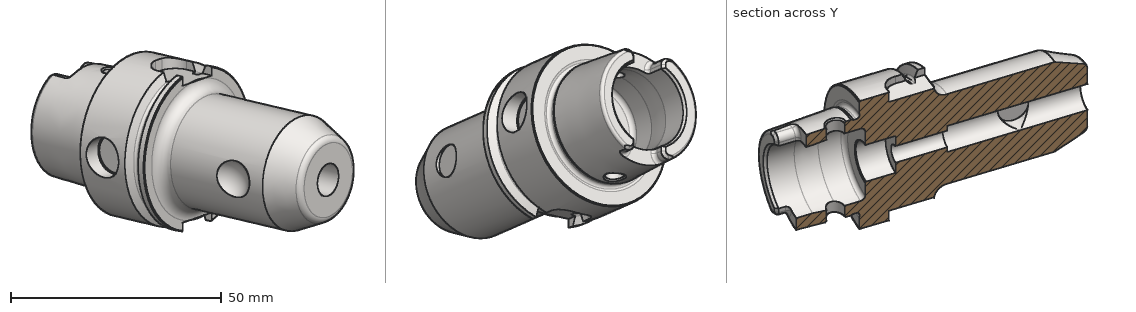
import cadquery as cq
import math


shank_length = 20.0
flange_end = 39.8
total_length = 79.9

taper_tip_radius = 14.2
taper_base_radius = 15.0
taper_end = 17.8
tip_rounding = 0.8
relief_start = 18.5
relief_radius = 14.7
relief_face_radius = 16.3
relief_depth = 0.15
relief_fillet = 0.95

flange_radius = 20.015
flange_edge = 0.2
groove_start = 33.9
groove_end = 37.95
groove_flank_run = 1.1
groove_radius = 17.4
groove_fillet = 0.8

nose_radius = 14.1
nose_fillet = 3.2
nose_cone_start = 71.3
nose_face_radius = 10.3
nose_rounding = 1.8

mouth_radius = 10.55
mouth_chamfer = 0.5
mouth_chamfer_length = 0.8
mouth_depth = 7.8
cavity_radius = 11.2
cavity_start = 14.4
cavity_floor = 21.6
cavity_fillet = 1.2
coolant_seat_radius = 5.7
coolant_seat_chamfer = 0.2
coolant_seat_depth = 8.0
coolant_radius = 2.52
tool_bore_radius = 4.0
tool_bore_depth = 36.75

slot_width = 8.1
slot_flare_radius = 1.75
slot_flare_height = 12.6
slot_corner = 1.0
slot_entry_chamfer = 0.8
upper_slot_depth = 6.15
lower_slot_depth = 3.5

cross_hole_x = 13.8
cross_hole_radius = 2.3
cross_hole_chamfer = 0.4

keyway_start = 27.9
keyway_width = 10.9
keyway_corner = 4.15
keyway_floor = 17.0

pocket_x = 27.0
pocket_radius = 4.95
pocket_floor = 15.35
pocket_floor_chamfer = 0.2
rear_pocket_offset = 1.3

side_feature_x = 62.25
dimple_radius = 5.7
dimple_centre = 16.8
screw_radius = 4.0
screw_top = 13.2

corner_45 = math.sqrt(0.5)


def along_segment(start, end, distance):
    """Point at a distance from the start of a segment, toward its end."""
    share = distance / math.dist(start, end)
    return tuple(a + share * (b - a) for a, b in zip(start, end))


def make_blank():
    """Outer turned shape, revolved about X."""
    start_rim = (groove_start, flange_radius)
    start_corner = (groove_start + groove_flank_run, groove_radius)
    end_corner = (groove_end - groove_flank_run, groove_radius)
    end_rim = (groove_end, flange_radius)
    flank_angle = math.atan2(flange_radius - groove_radius, groove_flank_run)
    tangent_length = groove_fillet * math.tan(flank_angle / 2)
    outline = (
        cq.Workplane("XZ")
        .moveTo(0, 0)
        .lineTo(0, taper_tip_radius - tip_rounding)
        .radiusArc((tip_rounding, taper_tip_radius), tip_rounding)
        .lineTo(taper_end, taper_base_radius)
        .lineTo(relief_start, relief_radius)
        .lineTo(shank_length + relief_depth - relief_fillet, relief_radius)
        .radiusArc((shank_length + relief_depth, relief_radius + relief_fillet), -relief_fillet)
        .lineTo(shank_length, relief_face_radius)
        .lineTo(shank_length, flange_radius - flange_edge)
        .lineTo(shank_length + flange_edge, flange_radius)
        .lineTo(groove_start, flange_radius)
        .lineTo(*along_segment(start_corner, start_rim, tangent_length))
        .radiusArc(along_segment(start_corner, end_corner, tangent_length), -groove_fillet)
        .lineTo(*along_segment(end_corner, start_corner, tangent_length))
        .radiusArc(along_segment(end_corner, end_rim, tangent_length), -groove_fillet)
        .lineTo(groove_end, flange_radius)
        .lineTo(flange_end - flange_edge, flange_radius)
        .lineTo(flange_end, flange_radius - flange_edge)
        .lineTo(flange_end, nose_radius + nose_fillet)
        .threePointArc(
            (
                flange_end + nose_fillet * (1 - corner_45),
                nose_radius + nose_fillet * (1 - corner_45),
            ),
            (flange_end + nose_fillet, nose_radius),
        )
        .lineTo(nose_cone_start, nose_radius)
        .lineTo(total_length, nose_face_radius)
        .lineTo(total_length, 0)
        .close()
    )
    blank = outline.revolve(360, (0, 0, 0), (1, 0, 0))
    return blank.faces(">X").edges().fillet(nose_rounding)


def slot_profile(margin):
    """Half cross-section of a drive slot, widened all round by the margin."""
    half = slot_width / 2 + margin
    flare_height = slot_flare_height - margin
    flare_radius = slot_flare_radius - margin
    arc_reach = flare_radius * (1 - corner_45)
    return (
        cq.Workplane("YZ")
        .moveTo(half, 0)
        .lineTo(half, flare_height - flare_radius)
        .threePointArc((half + arc_reach, flare_height - arc_reach), (half + flare_radius, flare_height))
        .lineTo(flange_radius, flare_height)
        .lineTo(flange_radius, flange_radius)
        .lineTo(0, flange_radius)
        .lineTo(0, 0)
        .close()
    )


def make_drive_slot(depth):
    """Slot along X with flared sides, a chamfered entry and rounded inner corners."""
    slot = slot_profile(0).extrude(depth)
    wall_ends = slot.faces(">X").edges("not(<Y or >Y or >Z)")
    slot = wall_ends.edges("not(<Z)").fillet(slot_corner)
    entry = slot_profile(slot_entry_chamfer).extrude(slot_entry_chamfer, taper=45)
    half = slot.union(entry)
    return half.union(half.mirror("XZ"))


def make_bore():
    """Shank cavity, coolant passage and tool bore as one turned cutter."""
    outline = (
        cq.Workplane("XZ")
        .moveTo(0, 0)
        .lineTo(0, mouth_radius + mouth_chamfer)
        .lineTo(mouth_chamfer_length, mouth_radius)
        .lineTo(mouth_depth, mouth_radius)
        .lineTo(cavity_start, cavity_radius)
        .lineTo(cavity_floor - cavity_fillet, cavity_radius)
        .radiusArc((cavity_floor, cavity_radius - cavity_fillet), cavity_fillet)
        .lineTo(cavity_floor, coolant_seat_radius + coolant_seat_chamfer)
        .lineTo(cavity_floor + coolant_seat_chamfer, coolant_seat_radius)
        .lineTo(cavity_floor + coolant_seat_depth, coolant_seat_radius)
        .lineTo(cavity_floor + coolant_seat_depth, coolant_radius)
        .lineTo(total_length - tool_bore_depth, coolant_radius)
        .lineTo(total_length - tool_bore_depth, tool_bore_radius)
        .lineTo(total_length, tool_bore_radius)
        .lineTo(total_length, 0)
        .close()
    )
    return outline.revolve(360, (0, 0, 0), (1, 0, 0))


def drill_cross_hole(shank):
    """Drill a vertical hole right through the shank and chamfer both its rims."""
    hole = (
        cq.Workplane("XY", origin=(cross_hole_x, 0, 0))
        .circle(cross_hole_radius)
        .extrude(flange_radius, both=True)
    )
    reach = cross_hole_radius + cross_hole_chamfer
    rims = cq.selectors.BoxSelector(
        (cross_hole_x - reach, -reach, -flange_radius),
        (cross_hole_x + reach, reach, flange_radius),
    )
    round_edges = "not(%LINE)"
    return shank.cut(hole).edges(rims).edges(round_edges).chamfer(cross_hole_chamfer)


def make_keyway():
    """Flat-floored keyway in the top of the flange, open toward the nose."""
    length = flange_end - keyway_start
    return (
        cq.Workplane("XY", origin=(keyway_start + length / 2, 0, keyway_floor))
        .rect(length, keyway_width)
        .extrude(flange_radius)
        .edges("|Z and <X")
        .fillet(keyway_corner)
    )


def make_side_cylinder(x, z, radius, y_start, y_end):
    """Cylinder along Y between two distances from the holder axis."""
    return (
        cq.Workplane("XZ", origin=(x, y_start, z))
        .circle(radius)
        .extrude(y_start - y_end)
    )


def make_pocket(z):
    """Round pocket on the -Y side of the flange, with a chamfered floor."""
    pocket = make_side_cylinder(pocket_x, z, pocket_radius, -pocket_floor, -flange_radius)
    return pocket.faces(">Y").edges().chamfer(pocket_floor_chamfer)


def make_holder():
    """Holder body with all its slots, holes, keyways and pockets."""
    holder = drill_cross_hole(make_blank()).cut(make_bore())

    turn = ((0, 0, 0), (1, 0, 0), 180)
    holder = holder.cut(make_drive_slot(upper_slot_depth))
    holder = holder.cut(make_drive_slot(lower_slot_depth).rotate(*turn))
    holder = holder.cut(make_keyway())
    holder = holder.cut(make_keyway().rotate(*turn))

    holder = holder.cut(make_pocket(0))
    holder = holder.cut(make_pocket(-rear_pocket_offset).rotate(*turn))

    dimple = cq.Workplane("XY", origin=(side_feature_x, -dimple_centre, 0)).sphere(dimple_radius)
    screw_hole = make_side_cylinder(side_feature_x, 0, screw_radius, 0, flange_radius)
    return holder.cut(dimple).cut(screw_hole)


def make_clamping_screw():
    """Set screw filling its hole from the tool bore to just below the nose surface."""
    return make_side_cylinder(side_feature_x, 0, screw_radius, tool_bore_radius, screw_top)


holder = make_holder()
clamping_screw = make_clamping_screw()
result = cq.Compound.makeCompound([holder.val(), clamping_screw.val()])